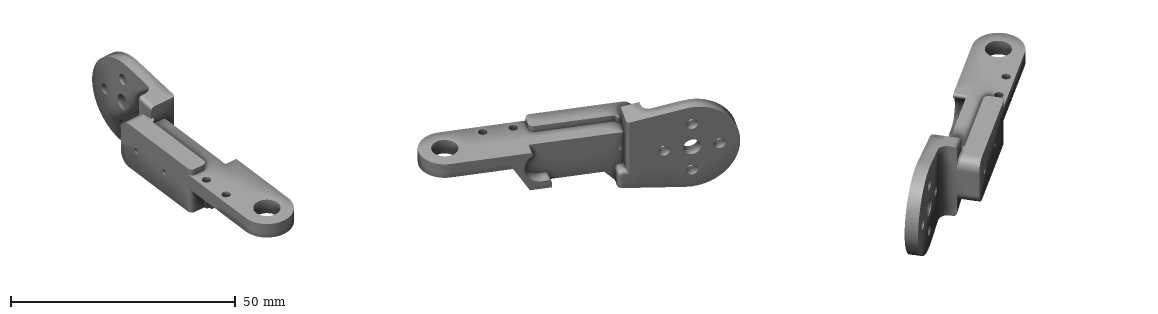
import cadquery as cq
import math

LENGTH = 72.0
DEPTH = 12.0

DISC_DIAMETER = 21.95
DISC_RADIUS = DISC_DIAMETER / 2
FLANGE_THICKNESS = 3.1
TAPER_ANGLE = math.radians(8)
HORN_BORE = 4.0
HORN_HOLE = 2.65
HORN_HOLE_OFFSET = 6.3

WEB_LEFT = 21.5
WEB_RIGHT = 25.85
WEB_FRONT = 6.9
WEB_FILLET = 2.0
EDGE_FILLET = 0.9
REAR_ROUND = 0.7
FOOT_RIGHT = 27.85
GUSSET_END = 30.3
LEDGE_TOP = -4.3
LEDGE_ROUND = 1.1

BLOCK_RIGHT = 46.4
BLOCK_HALF_HEIGHT = 6.0
BLOCK_BACK = 7.4
BLOCK_LEFT_FILLET = 2.8
BLOCK_END_FILLET = 1.15
WEB_CORNER_FILLET = 1.1
BRACE_FILLET = 0.85
PIN_DIAMETER = 1.4
PIN_DEPTH = DEPTH - BLOCK_BACK
PIN_POSITIONS = (26.9, 36.9)
PILOT_DIAMETER = 0.85
PILOT_X = 26.7

PLATE_TOP = 4.3
PLATE_BOTTOM = 0.6
LIP_X = 47.2
TIP_RADIUS = DEPTH / 2
TIP_X = LENGTH - TIP_RADIUS
TIP_BORE = 6.05
PLATE_HOLE = 2.1
PLATE_HOLE_Y = 10.0
PLATE_HOLE_POSITIONS = (49.45, 56.45)

BRACE_BOTTOM_X = 47.95
BRACE_TOP_X = 51.75
CLAW_LEFT = 42.9
CLAW_ROUND = 0.9
CLAW_TOP = -3.9
CLAW_FLAT_END = 44.4
LIP_RADIUS = 0.6
HOLLOW_X = 49.2


def rear_plane(depth=0.0):
    """XZ plane at a depth in front of the rear face; extruding goes forward."""
    return cq.Workplane("XZ", origin=(0, -depth, 0))


def box(x0, x1, front, back, z0, z1):
    outline = rear_plane(back).moveTo(x0, z0).lineTo(x1, z0).lineTo(x1, z1).lineTo(x0, z1).close()
    return outline.extrude(front - back)


def taper_height(x):
    """Half height of the straight flanks tangent to the disc."""
    return (DISC_RADIUS - (x - DISC_RADIUS) * math.sin(TAPER_ANGLE)) / math.cos(TAPER_ANGLE)


def tapered_outline(depth):
    tangent_x = DISC_RADIUS * (1 + math.sin(TAPER_ANGLE))
    tangent_z = DISC_RADIUS * math.cos(TAPER_ANGLE)
    end_z = taper_height(WEB_RIGHT)
    return (
        rear_plane()
        .moveTo(WEB_RIGHT, -end_z)
        .lineTo(tangent_x, -tangent_z)
        .threePointArc((0, 0), (tangent_x, tangent_z))
        .lineTo(WEB_RIGHT, end_z)
        .close()
        .extrude(depth)
    )


def make_flange_and_web():
    body = tapered_outline(WEB_FRONT)
    body = body.cut(box(0, WEB_LEFT, WEB_FRONT, FLANGE_THICKNESS, -DISC_RADIUS, DISC_RADIUS))
    inner_corner = cq.selectors.NearestToPointSelector((WEB_LEFT, -FLANGE_THICKNESS, 0))
    body = body.edges(inner_corner).fillet(WEB_FILLET)
    rear_corner = cq.selectors.NearestToPointSelector((WEB_RIGHT, 0, 0))
    return body.edges(rear_corner).fillet(REAR_ROUND)


def make_foot():
    """Lower extension of the web: slanted gusset in front, short rounded ledge at the rear."""
    foot_z = -taper_height(FOOT_RIGHT)
    gusset = (
        rear_plane(FLANGE_THICKNESS)
        .moveTo(WEB_LEFT, PLATE_BOTTOM)
        .lineTo(WEB_LEFT, -taper_height(WEB_LEFT))
        .lineTo(FOOT_RIGHT, foot_z)
        .lineTo(GUSSET_END, -BLOCK_HALF_HEIGHT)
        .lineTo(GUSSET_END, PLATE_BOTTOM)
        .close()
        .extrude(WEB_FRONT - FLANGE_THICKNESS)
    )
    ledge = (
        rear_plane()
        .moveTo(WEB_RIGHT - REAR_ROUND, LEDGE_TOP)
        .lineTo(FOOT_RIGHT - LEDGE_ROUND, LEDGE_TOP)
        .radiusArc((FOOT_RIGHT, LEDGE_TOP - LEDGE_ROUND), LEDGE_ROUND)
        .lineTo(FOOT_RIGHT, foot_z)
        .lineTo(WEB_RIGHT - REAR_ROUND, -taper_height(WEB_RIGHT - REAR_ROUND))
        .close()
        .extrude(FLANGE_THICKNESS)
    )
    ledge_corner = cq.selectors.NearestToPointSelector((FOOT_RIGHT, 0, (LEDGE_TOP + foot_z) / 2))
    return gusset.union(ledge.edges(ledge_corner).fillet(EDGE_FILLET))


def round_web_front(body):
    """Round the upper and lower front edges of the web and its foot."""
    front_edges = body.faces("<Y").edges("not (|Z or |X)")
    return front_edges.fillet(EDGE_FILLET)


def make_block():
    """Front block with its end rounded, left square at the lower back where it meets the brace."""
    block = box(WEB_LEFT, BLOCK_RIGHT, DEPTH, BLOCK_BACK, -BLOCK_HALF_HEIGHT, BLOCK_HALF_HEIGHT)
    block = block.edges("|Z and >X").fillet(BLOCK_END_FILLET)
    lower_end = box(
        BLOCK_RIGHT - BLOCK_END_FILLET,
        BLOCK_RIGHT,
        DEPTH - BLOCK_END_FILLET,
        BLOCK_BACK,
        -BLOCK_HALF_HEIGHT,
        PLATE_BOTTOM,
    )
    block = block.union(lower_end)
    block = block.edges("|Y and <X").fillet(BLOCK_LEFT_FILLET)
    neck = box(WEB_LEFT, WEB_RIGHT, BLOCK_BACK, FLANGE_THICKNESS, -BLOCK_HALF_HEIGHT, BLOCK_HALF_HEIGHT)
    return block.union(neck.edges("|Y and <X").fillet(BLOCK_LEFT_FILLET))


def inner_fillet(x, wall_y, radius, side, z0, z1):
    """Concave filler between a wall facing +X at x and a wall at wall_y; side is the Y direction it spreads in."""
    return (
        cq.Workplane("XY", origin=(x, wall_y, z0))
        .lineTo(radius, 0)
        .radiusArc((0, side * radius), -side * radius)
        .close()
        .extrude(z1 - z0)
    )


def make_plate():
    plate = (
        cq.Workplane("XY", origin=(0, 0, PLATE_BOTTOM))
        .moveTo(WEB_RIGHT, -DEPTH)
        .lineTo(TIP_X, -DEPTH)
        .threePointArc((LENGTH, -TIP_RADIUS), (TIP_X, 0))
        .lineTo(BRACE_TOP_X, 0)
        .lineTo(BRACE_TOP_X, -FLANGE_THICKNESS)
        .lineTo(WEB_RIGHT, -FLANGE_THICKNESS)
        .close()
        .extrude(PLATE_TOP - PLATE_BOTTOM)
    )
    return plate.cut(box(WEB_LEFT, BLOCK_RIGHT - BLOCK_END_FILLET, DEPTH, BLOCK_BACK, PLATE_BOTTOM, PLATE_TOP))


def make_brace():
    """Slanted brace under the arm, joined to the block back."""
    return (
        rear_plane(FLANGE_THICKNESS)
        .moveTo(WEB_RIGHT, -BLOCK_HALF_HEIGHT)
        .lineTo(BRACE_BOTTOM_X, -BLOCK_HALF_HEIGHT)
        .lineTo(BRACE_TOP_X, PLATE_BOTTOM)
        .lineTo(WEB_RIGHT, PLATE_BOTTOM)
        .close()
        .extrude(BLOCK_BACK - FLANGE_THICKNESS)
    )


def make_claw():
    """Hollow hook at the rear, from the rounded lip of the arm down to the rounded lower jaw."""
    lip_end = (LIP_X + LIP_RADIUS, PLATE_TOP - 2 * LIP_RADIUS)
    return (
        rear_plane()
        .moveTo(CLAW_LEFT, -BLOCK_HALF_HEIGHT)
        .lineTo(BRACE_BOTTOM_X, -BLOCK_HALF_HEIGHT)
        .lineTo(BRACE_TOP_X, PLATE_BOTTOM)
        .lineTo(BRACE_TOP_X, PLATE_TOP)
        .lineTo(LIP_X + LIP_RADIUS, PLATE_TOP)
        .threePointArc((LIP_X, PLATE_TOP - LIP_RADIUS), lip_end)
        .threePointArc((HOLLOW_X, 0), (CLAW_FLAT_END, CLAW_TOP))
        .lineTo(CLAW_LEFT + CLAW_ROUND, CLAW_TOP)
        .radiusArc((CLAW_LEFT, CLAW_TOP - CLAW_ROUND), -CLAW_ROUND)
        .close()
        .extrude(FLANGE_THICKNESS)
    )


def cut_holes(body):
    horn_points = [
        (DISC_RADIUS + HORN_HOLE_OFFSET * dx, HORN_HOLE_OFFSET * dz)
        for dx, dz in ((1, 0), (-1, 0), (0, 1), (0, -1))
    ]
    horn = rear_plane().pushPoints(horn_points).circle(HORN_HOLE / 2).extrude(FLANGE_THICKNESS)
    bore = rear_plane().center(DISC_RADIUS, 0).circle(HORN_BORE / 2).extrude(FLANGE_THICKNESS)
    pin_points = [(x, 0) for x in PIN_POSITIONS]
    pins = rear_plane(DEPTH - PIN_DEPTH).pushPoints(pin_points).circle(PIN_DIAMETER / 2).extrude(PIN_DEPTH)
    pilot = rear_plane().center(PILOT_X, 0).circle(PILOT_DIAMETER / 2).extrude(DEPTH)
    plate_plane = cq.Workplane("XY", origin=(0, 0, PLATE_BOTTOM))
    plate_points = [(x, -PLATE_HOLE_Y) for x in PLATE_HOLE_POSITIONS]
    thickness = PLATE_TOP - PLATE_BOTTOM
    plate_holes = plate_plane.pushPoints(plate_points).circle(PLATE_HOLE / 2).extrude(thickness)
    tip_bore = plate_plane.center(TIP_X, -TIP_RADIUS).circle(TIP_BORE / 2).extrude(thickness)
    for tool in (horn, bore, pins, pilot, plate_holes, tip_bore):
        body = body.cut(tool)
    return body


web = round_web_front(make_flange_and_web().union(make_foot()).clean())
web_corner = inner_fillet(WEB_RIGHT, -BLOCK_BACK, WEB_CORNER_FILLET, 1, PLATE_TOP, BLOCK_HALF_HEIGHT)
brace_corner = inner_fillet(BLOCK_RIGHT, -BLOCK_BACK, BRACE_FILLET, -1, -BLOCK_HALF_HEIGHT, PLATE_BOTTOM)
result = web
for piece in (make_block(), make_plate(), make_brace(), make_claw(), web_corner, brace_corner):
    result = result.union(piece)
result = cut_holes(result)